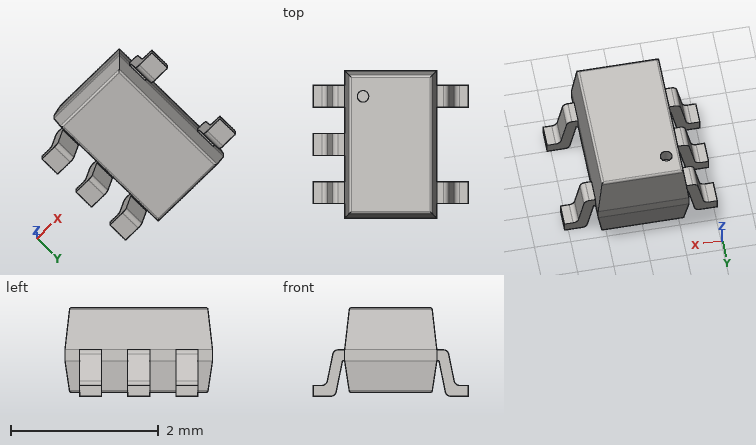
import cadquery as cq
import math

OVERALL_X = 2.1
OVERALL_Z = 1.2

BODY_X = 1.25
BODY_Y = 2.0
BODY_BOTTOM_Z = 0.05
TAPER_INSET = 0.065
EDGE_RADIUS = 0.032

LEAD_THICKNESS = 0.15
LEAD_WIDTH = 0.3
LEAD_PITCH = 0.65
LEAD_TOP_Z = 0.63
LEAD_BOTTOM_Z = LEAD_TOP_Z - LEAD_THICKNESS
LEG_TILT = math.radians(11.5)
INNER_CORNER_X = 0.65
BEND_RADIUS = 0.075

MARKER_DIAMETER = 0.155
MARKER_FROM_SIDE = 0.25
MARKER_DEPTH = 0.2


def tapered_block(base_z, end_z):
    """Block that narrows by the same inset on all four sides from base_z to end_z."""
    height = end_z - base_z
    taper = math.degrees(math.atan2(TAPER_INSET, abs(height)))
    return (
        cq.Workplane("XY")
        .workplane(offset=base_z)
        .rect(BODY_X, BODY_Y)
        .extrude(height, taper=taper)
    )


def make_housing():
    upper = tapered_block(LEAD_TOP_Z, OVERALL_Z).faces(">Z").edges().fillet(EDGE_RADIUS)
    lower = tapered_block(LEAD_BOTTOM_Z, BODY_BOTTOM_Z).faces("<Z").edges().fillet(EDGE_RADIUS)
    band = (
        cq.Workplane("XY")
        .workplane(offset=LEAD_BOTTOM_Z)
        .rect(BODY_X, BODY_Y)
        .extrude(LEAD_THICKNESS)
    )
    marker = (
        cq.Workplane("XY")
        .workplane(offset=OVERALL_Z - MARKER_DEPTH)
        .center(MARKER_FROM_SIDE - BODY_X / 2, LEAD_PITCH)
        .circle(MARKER_DIAMETER / 2)
        .extrude(MARKER_DEPTH)
    )
    return band.union(upper).union(lower).cut(marker)


def make_lead(side, center_y):
    """Bent lead of even thickness; side is -1 for the -X side and +1 for the +X side."""
    tip_x = OVERALL_X / 2
    run_per_rise = math.tan(LEG_TILT)
    corner_shift = LEAD_THICKNESS * (1 / math.cos(LEG_TILT) - run_per_rise)
    outer_top_x = INNER_CORNER_X + corner_shift
    outer_foot_x = outer_top_x + run_per_rise * (LEAD_TOP_Z - LEAD_THICKNESS)
    inner_foot_x = INNER_CORNER_X + run_per_rise * LEAD_BOTTOM_Z
    profile = [
        (BODY_X / 2, LEAD_TOP_Z),
        (outer_top_x, LEAD_TOP_Z),
        (outer_foot_x, LEAD_THICKNESS),
        (tip_x, LEAD_THICKNESS),
        (tip_x, 0),
        (inner_foot_x, 0),
        (INNER_CORNER_X, LEAD_BOTTOM_Z),
        (BODY_X / 2, LEAD_BOTTOM_Z),
    ]
    rounded_corners = [
        (outer_top_x, LEAD_TOP_Z),
        (outer_foot_x, LEAD_THICKNESS),
        (inner_foot_x, 0),
    ]
    lead = (
        cq.Workplane("XZ", origin=(0, center_y, 0))
        .polyline([(side * x, z) for x, z in profile])
        .close()
        .extrude(LEAD_WIDTH / 2, both=True)
    )
    for x, z in rounded_corners:
        bend_edge = cq.selectors.NearestToPointSelector((side * x, center_y, z))
        lead = lead.edges("|Y").edges(bend_edge).fillet(BEND_RADIUS)
    return lead


housing = make_housing()

lead_rows = {-1: (-1, 0, 1), 1: (-1, 1)}
leads = [
    make_lead(side, row * LEAD_PITCH)
    for side, rows in lead_rows.items()
    for row in rows
]

result = cq.Compound.makeCompound([housing.val(), *[lead.val() for lead in leads]])